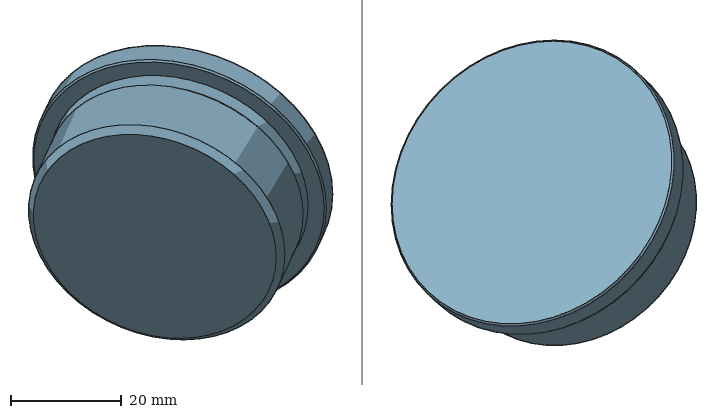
import cadquery as cq

flange_radius = 55 / 2
plug_radius = 48.0 / 2
total_length = 21.0
flange_thickness = 4.95
flange_chamfer = 0.35
end_chamfer = 1.25
groove_depth = 1.2
groove_width = 2.7
neck_rim_overhang = 0.15
groove_bottom_offset = 1.45

flange_face = -flange_thickness
groove_bottom = flange_face - groove_bottom_offset
groove_end = flange_face - groove_width
plug_end = -total_length

half_section = [
    (0, 0),
    (flange_radius - flange_chamfer, 0),
    (flange_radius, -flange_chamfer),
    (flange_radius, flange_face + flange_chamfer),
    (flange_radius - flange_chamfer, flange_face),
    (plug_radius + neck_rim_overhang, flange_face),
    (plug_radius - groove_depth, groove_bottom),
    (plug_radius, groove_end),
    (plug_radius, plug_end + end_chamfer),
    (plug_radius - end_chamfer, plug_end),
    (0, plug_end),
]

result = cq.Workplane("XY").polyline(half_section).close().revolve(360, (0, 0, 0), (0, 1, 0))